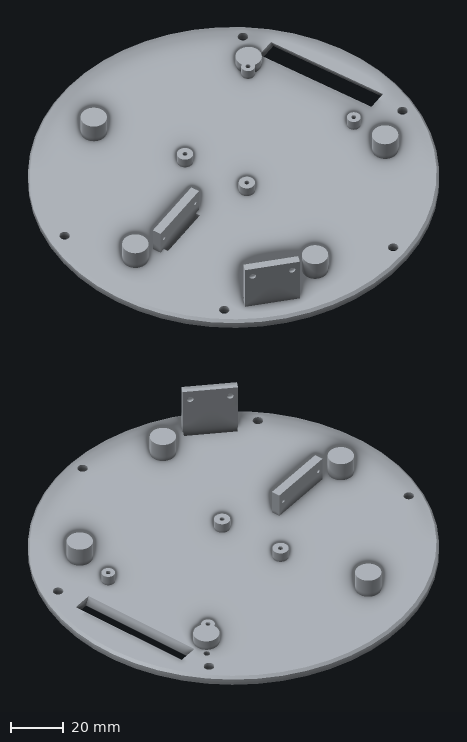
import cadquery as cq
import math

plate_diameter = 156.0
plate_thickness = 3.59
plate_chamfer = 1.03

screw_hole_diameter = 4.0
screw_circle_radius = 72.0
screw_hole_angles = [-120, -60, 0, 60, 120]

pin_hole_diameter = 2.5
pin_hole_center = (-30.8, 56.9)

post_diameter = 10.0
tall_post_height = 8.0
tall_post_centers = [(41.5, 41.65), (-56.37, -10.4), (53.4, -25.8), (-6.97, -57.9)]
short_post_height = 4.2
short_post_center = (-26.35, 51.4)

upper_boss_diameter = 5.2
upper_pilot_diameter = 1.9
upper_boss_centers = [(-23.7, 46.9), (24.5, 46.1)]
lower_boss_diameter = 6.2
lower_pilot_diameter = 1.9
lower_boss_centers = [(-18.8, -4.8), (9.1, -4.8)]

window_left = -25.5
window_length = 50.5
window_front = 57.7
window_back = 65.7
window_wall_lean = 1.65

wall_thickness = 3.5
wall_length = 26.9
wall_height = 10.2
wall_face_x = -0.6
wall_center_y = -36.7
wall_slot_width = 1.9
wall_slot_length = 22.3
wall_hole_diameter = 1.65
wall_hole_spacing = 21.8
wall_hole_height = 5.8

tower_angle = -45.0
tower_inner_radius = 66.7
tower_thickness = 3.0
tower_length = 21.3
tower_height = 20.0
tower_slot_width = 2.3
tower_slot_length = 20.7
tower_hole_diameter = 2.5
tower_hole_spacing = 15.3
tower_hole_height = 16.0


def box_between(x_min, x_max, y_center, y_length, z_min, z_max):
    """Box spanning the given X and Z ranges, centred on y_center in Y."""
    return (
        cq.Workplane("XY", origin=((x_min + x_max) / 2, y_center, z_min))
        .rect(x_max - x_min, y_length)
        .extrude(z_max - z_min)
    )


def through_holes(centers, diameter):
    """Vertical cylinders that pass through the whole plate."""
    return cq.Workplane("XY").pushPoints(centers).circle(diameter / 2).extrude(plate_thickness)


def posts(centers, diameter, height):
    """Round posts standing on the plate; they start at the plate bottom so that they fuse with it."""
    return cq.Workplane("XY").pushPoints(centers).circle(diameter / 2).extrude(plate_thickness + height)


def pilot_holes(centers, diameter):
    """Blind holes from the boss tops down to the plate surface."""
    return (
        cq.Workplane("XY", origin=(0, 0, plate_thickness))
        .pushPoints(centers)
        .circle(diameter / 2)
        .extrude(short_post_height)
    )


def upright(x_min, thickness, y_center, length, height, hole_diameter, hole_spacing, hole_height):
    """Upright slab, its faces square to X, with two holes through its thickness."""
    slab = box_between(x_min, x_min + thickness, y_center, length, 0, plate_thickness + height)
    holes = (
        cq.Workplane("YZ", origin=(x_min, y_center, plate_thickness + hole_height))
        .pushPoints([(-hole_spacing / 2, 0), (hole_spacing / 2, 0)])
        .circle(hole_diameter / 2)
        .extrude(thickness)
    )
    return slab.cut(holes)


def turn_to_tower(body):
    """Turn a body built on the +X axis to the tower's direction."""
    return body.rotate((0, 0, 0), (0, 0, 1), tower_angle)


def window():
    """Cutter for the window, drawn as a Y-Z section and extruded along X."""
    return (
        cq.Workplane("YZ", origin=(window_left, 0, 0))
        .moveTo(window_front + window_wall_lean, 0)
        .lineTo(window_back + window_wall_lean, 0)
        .lineTo(window_back, plate_thickness)
        .lineTo(window_front, plate_thickness)
        .close()
        .extrude(window_length)
    )


plate = (
    cq.Workplane("XY")
    .circle(plate_diameter / 2)
    .extrude(plate_thickness)
    .faces(">Z")
    .edges()
    .chamfer(plate_chamfer)
)

screw_hole_centers = [
    (
        screw_circle_radius * math.cos(math.radians(angle)),
        screw_circle_radius * math.sin(math.radians(angle)),
    )
    for angle in screw_hole_angles
]
wall_slot = box_between(
    wall_face_x, wall_face_x + wall_slot_width, wall_center_y, wall_slot_length, 0, plate_thickness
)
tower_slot = turn_to_tower(
    box_between(
        tower_inner_radius - tower_slot_width,
        tower_inner_radius,
        0,
        tower_slot_length,
        0,
        plate_thickness,
    )
)
plate = (
    plate.cut(through_holes(screw_hole_centers, screw_hole_diameter))
    .cut(through_holes([pin_hole_center], pin_hole_diameter))
    .cut(window())
    .cut(wall_slot)
    .cut(tower_slot)
)

wall = upright(
    wall_face_x - wall_thickness,
    wall_thickness,
    wall_center_y,
    wall_length,
    wall_height,
    wall_hole_diameter,
    wall_hole_spacing,
    wall_hole_height,
)
tower = turn_to_tower(
    upright(
        tower_inner_radius,
        tower_thickness,
        0,
        tower_length,
        tower_height,
        tower_hole_diameter,
        tower_hole_spacing,
        tower_hole_height,
    )
)

result = (
    plate.union(posts(tall_post_centers, post_diameter, tall_post_height))
    .union(posts([short_post_center], post_diameter, short_post_height))
    .union(posts(upper_boss_centers, upper_boss_diameter, short_post_height))
    .union(posts(lower_boss_centers, lower_boss_diameter, short_post_height))
    .union(wall)
    .union(tower)
    .cut(pilot_holes(upper_boss_centers, upper_pilot_diameter))
    .cut(pilot_holes(lower_boss_centers, lower_pilot_diameter))
)